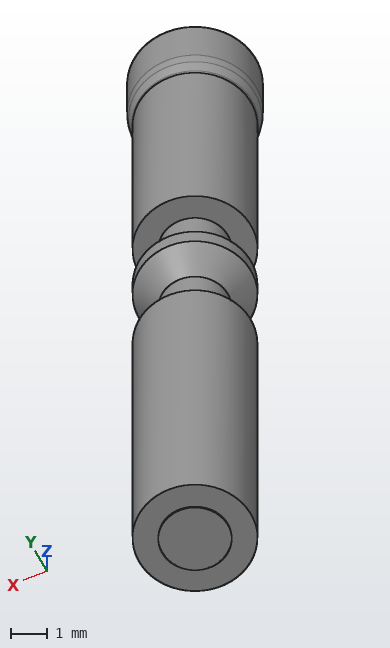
import math

import cadquery as cq

total_height = 23.6
body_radius = 1.7
neck_radius = 1.0
head_radius = 1.85

pad_height = 0.05
pad_radius = neck_radius

lower_body_top = 10.15
neck_length = 1.85
collar_rim_height = 0.5
collar_cone_height = body_radius - neck_radius

head_band_height = 1.46
head_cone_angle = math.radians(15)
head_round_radius = 1.1
head_cone_height = 0.33
head_bevel_height = 0.07

collar_bottom = lower_body_top + neck_length
collar_rim_bottom = collar_bottom + collar_cone_height
collar_top = collar_rim_bottom + collar_rim_height
upper_body_bottom = collar_top + neck_length
head_band_bottom = total_height - head_band_height


def head_round_point(angle):
    """Point of the head's rounded edge, at this turn away from the straight band."""
    radius = head_radius - head_round_radius * (1 - math.cos(angle))
    height = head_band_bottom - head_round_radius * math.sin(angle)
    return radius, height


round_end_radius, round_end_height = head_round_point(head_cone_angle)
cone_end_radius = round_end_radius - head_cone_height * math.tan(head_cone_angle)
cone_end_height = round_end_height - head_cone_height
upper_body_top = cone_end_height - head_bevel_height


def turned_pin():
    """Revolve the half profile (radius, height) about the Z axis."""
    profile = (
        cq.Workplane("XZ")
        .moveTo(0, 0)
        .lineTo(pad_radius, 0)
        .lineTo(pad_radius, pad_height)
        .lineTo(body_radius, pad_height)
        .lineTo(body_radius, lower_body_top)
        .lineTo(neck_radius, lower_body_top)
        .lineTo(neck_radius, collar_bottom)
        .lineTo(body_radius, collar_rim_bottom)
        .lineTo(body_radius, collar_top)
        .lineTo(neck_radius, collar_top)
        .lineTo(neck_radius, upper_body_bottom)
        .lineTo(body_radius, upper_body_bottom)
        .lineTo(body_radius, upper_body_top)
        .lineTo(cone_end_radius, cone_end_height)
        .lineTo(round_end_radius, round_end_height)
        .threePointArc(head_round_point(head_cone_angle / 2), (head_radius, head_band_bottom))
        .lineTo(head_radius, total_height)
        .lineTo(0, total_height)
        .close()
    )
    return profile.revolve(360, (0, 0), (0, 1))


result = turned_pin()